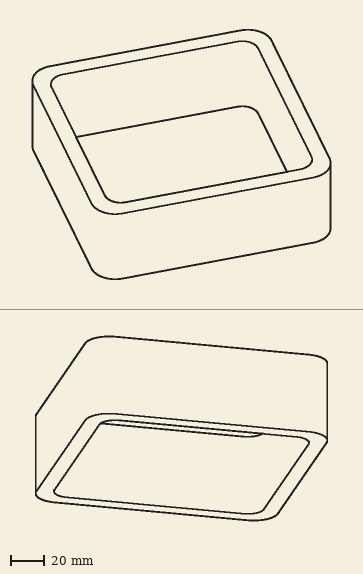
import cadquery as cq

side = 150.0
height = side / 3
wall = side / 15
outer_radius = 15.0
inner_radius = wall


def rounded_square_prism(width, corner_radius):
    """Upright square prism with its four vertical edges rounded."""
    return cq.Workplane("XY").rect(width, width).extrude(height).edges("|Z").fillet(corner_radius)


outer_body = rounded_square_prism(side, outer_radius)
opening = rounded_square_prism(side - 2 * wall, inner_radius)

result = outer_body.cut(opening)